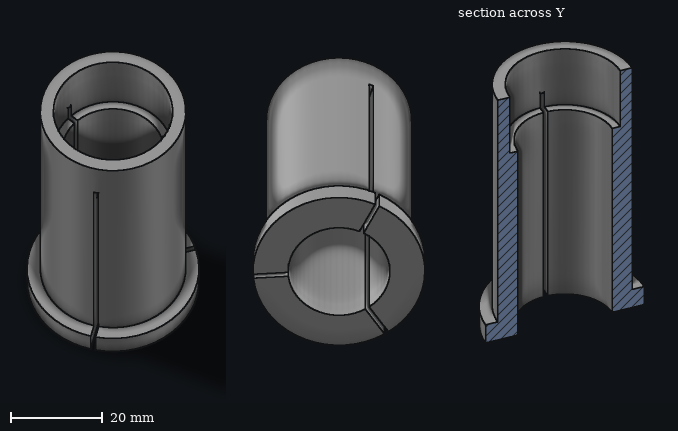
import cadquery as cq

TOTAL_HEIGHT = 64.6
FLANGE_DIAMETER = 37.5
FLANGE_HEIGHT = 5.0
BODY_DIAMETER = 31.75

TOP_BORE_DIAMETER = 26.0
TOP_BORE_DEPTH = 15.0
LOWER_BORE_DIAMETER = 22.2

SLOT_COUNT = 3
SLOT_WIDTH = 1.0
SLOT_OUTER_HEIGHT = 55.6
SLOT_INNER_HEIGHT = 53.4
FIRST_SLOT_ANGLE = 90.0


def cylinder(diameter, bottom, height):
    """Upright cylinder on the Z axis."""
    return cq.Workplane("XY").workplane(offset=bottom).circle(diameter / 2).extrude(height)


def make_sleeve():
    """Flanged sleeve with its stepped bore."""
    flange = cylinder(FLANGE_DIAMETER, 0, FLANGE_HEIGHT)
    body = cylinder(BODY_DIAMETER, 0, TOTAL_HEIGHT)
    lower_bore = cylinder(LOWER_BORE_DIAMETER, 0, TOTAL_HEIGHT)
    top_bore = cylinder(TOP_BORE_DIAMETER, TOTAL_HEIGHT - TOP_BORE_DEPTH, TOP_BORE_DEPTH)
    return flange.union(body).cut(lower_bore).cut(top_bore)


def make_slot(angle):
    """Cutter from the axis out past the flange rim, with its top end slanting up outward."""
    reach = FLANGE_DIAMETER
    body_radius = BODY_DIAMETER / 2
    wall_thickness = (BODY_DIAMETER - TOP_BORE_DIAMETER) / 2
    end_slope = (SLOT_OUTER_HEIGHT - SLOT_INNER_HEIGHT) / wall_thickness
    height_at_axis = SLOT_OUTER_HEIGHT - end_slope * body_radius
    slot = (
        cq.Workplane("XZ")
        .moveTo(0, 0)
        .lineTo(reach, 0)
        .lineTo(reach, SLOT_OUTER_HEIGHT)
        .lineTo(body_radius, SLOT_OUTER_HEIGHT)
        .lineTo(0, height_at_axis)
        .close()
        .extrude(SLOT_WIDTH / 2, both=True)
    )
    return slot.rotate((0, 0, 0), (0, 0, 1), angle)


result = make_sleeve()
for index in range(SLOT_COUNT):
    result = result.cut(make_slot(FIRST_SLOT_ANGLE + index * 360 / SLOT_COUNT))